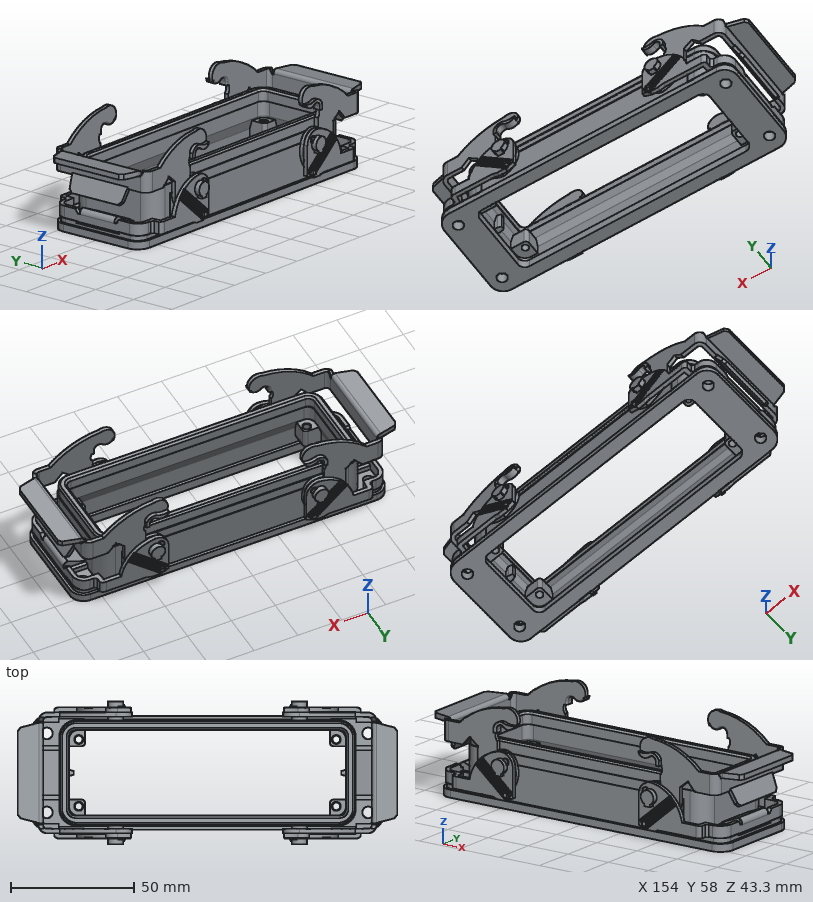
import cadquery as cq

FLANGE_LENGTH = 142.7
FLANGE_WIDTH = 46.2
FLANGE_TOP = 3.4
FLANGE_RADIUS = 6.2
STEP_TOP = 5.5
STEP_INSET = 1.2
STEP_RUN = 20.0
STEP_RADIUS = FLANGE_RADIUS - STEP_INSET
BODY_LENGTH = 120.3
BODY_RADIUS = 7.1
BODY_WIDTH = 42.8
PANEL_WIDTH = 43.4
PANEL_TOP = 19.1
RIM_INSET = 0.5
RIM_START = 23.2
RIM_TOP = 28.3
RIM_CHAMFER = 0.8

OPENING_LENGTH = 112.0
OPENING_WIDTH = 34.5
OPENING_RADIUS = 3.4
LIP_TOP = 4.3
RECESS_CLEARANCE = 1.4
RECESS_SLOPE_START = 12.6
NECK_START = 17.1
MOUTH_CLEARANCE = 0.2
MOUTH_RADIUS = 2.8
MOUTH_CHAMFER = 1.0

BOSS_LENGTH = 6.5
BOSS_WIDTH = 6.5
BOSS_BOTTOM = 8.0
BOSS_TOP = 16.2
BOSS_HOLE_X = 52.2
BOSS_HOLE_Y = 13.5
BOSS_HOLE_RADIUS = 1.5
BOSS_CHAMFER = 0.3
BOSS_ROUND = 1.5
BOSS_EMBED = 0.3
NUB_LENGTH = 1.8
NUB_ROOT = 2.6
NUB_TIP = 1.5

SHEET = 1.8
TRAY_END = 70.5
TRAY_WIDTH = 45.0
TRAY_RADIUS = 5.4
TRAY_INNER_END = 63.4
TRAY_TOP = 10.8
EAR_INNER = 24.8
EAR_OUTER = EAR_INNER + SHEET
EAR_BEND = 62.2
EAR_START = 59.9
NOTCH_WIDTH = 20.0
NOTCH_TAPER = 1.4
NOTCH_BOTTOM = 9.0
HUMP_WIDTH = 18.2
HUMP_LEDGE_WIDTH = 21.9
HUMP_LEDGE_TOP = 7.7
HUMP_TOP = 11.2
HUMP_HEEL = 8.0
END_SLOT_WIDTH = 22.2
END_SLOT_HEIGHT = 1.0
END_SLOT_DEPTH = 0.8
MOUNT_HOLE_X = 65.1
MOUNT_HOLE_Y = 16.0
MOUNT_HOLE_RADIUS = 2.3

STRIP_CENTRE = (-40.8, 13.0)
STRIP_LENGTH = 19.7
STRIP_WIDTH = 4.6
STRIP_ANGLE = 40.3
STRIP_DEPTH = 0.5
RIB_COUNT = 4
RIB_WIDTH = 0.6
STUD_X = -34.6
STUD_Z = 7.4
STUD_SIZE = 1.8
STUD_OUTER = 27.7

PIN_X = -37.2
PIN_Z = 19.2
PIN_RADIUS = 3.15
PIN_OUTER = 29.01
PIN_INNER = 20.8
PIN_KEY_WIDTH = 3.0
PIN_KEY_DROP = 3.8
STOP_OFFSET = (2.3, 2.0)
STOP_RADIUS = 1.5
STOP_HEIGHT = 0.5

LEVER_OUTER = 24.55
LEVER_INNER = LEVER_OUTER - SHEET
LEVER_END = 68.5
LEVER_BOTTOM = 24.2
LEVER_TOP = 33.1
LEVER_RADIUS = 3.5
HANDLE_BOTTOM = 30.8
HANDLE_END = 77.0
HANDLE_ROOT_HALF = 20.3
HANDLE_SLANT_HALF = 18.5
HANDLE_TIP_HALF = 17.0
HANDLE_CORNER = 1.2
RELIEF_GAP = 0.6
RELIEF_FLARE = 1.7
HOOK_FLANGE_OUTER = 26.3
HOOK_FLANGE_BOTTOM = 32.5
HOOK_ROOT_X = -39.7
HOOK_TIP = (-31.2, 36.2)
HOOK_BEND_RADIUS = 0.8
WING_LENGTH = 8.0
WING_THICKNESS = 1.5
WING_TILT = 26.0
WING_WIDTH = 29.2
WING_TAPER = 1.0
WING_CORNER = 1.5


def block(length, width, bottom, top, radius):
    """Centred block with rounded upright corners."""
    slab = cq.Workplane("XY").workplane(offset=bottom).rect(length, width).extrude(top - bottom)
    return slab.edges("|Z").fillet(radius)


def side_plane(y):
    """Sketch plane at distance y on the -Y side; extrusions run outward."""
    return cq.Workplane("XZ", origin=(0, -y, 0))


def both_sides(solid):
    return solid.union(solid.mirror("XZ"))


def both_ends(solid):
    return solid.union(solid.mirror("YZ"))


def make_housing():
    flange = block(FLANGE_LENGTH, FLANGE_WIDTH, 0, FLANGE_TOP, FLANGE_RADIUS)
    step_length = FLANGE_LENGTH - 2 * STEP_INSET
    step_width = FLANGE_WIDTH - 2 * STEP_INSET
    step = block(step_length, step_width, FLANGE_TOP, STEP_TOP, STEP_RADIUS)
    gap_length = step_length - 2 * STEP_RUN
    step = step.cut(cq.Workplane("XY").box(gap_length, FLANGE_WIDTH, 2 * STEP_TOP))

    body = block(BODY_LENGTH, BODY_WIDTH, FLANGE_TOP, RIM_START, BODY_RADIUS)
    panel_height = PANEL_TOP - FLANGE_TOP
    panels = cq.Workplane("XY").box(gap_length, PANEL_WIDTH, panel_height)
    panels = panels.translate((0, 0, FLANGE_TOP + panel_height / 2))
    rim = block(BODY_LENGTH - 2 * RIM_INSET, BODY_WIDTH - 2 * RIM_INSET,
                RIM_START, RIM_TOP, BODY_RADIUS - RIM_INSET)
    rim = rim.faces(">Z").edges().chamfer(RIM_CHAMFER)
    return flange.union(step).union(body).union(panels).union(rim)


def opening_block(clearance, bottom, top, radius):
    return block(OPENING_LENGTH + 2 * clearance, OPENING_WIDTH + 2 * clearance, bottom, top, radius)


def make_opening():
    """Through opening: bottom lip, wider recess, sloping neck and chamfered mouth."""
    through = opening_block(0, 0, RIM_START, OPENING_RADIUS)
    recess_radius = OPENING_RADIUS + RECESS_CLEARANCE
    recess = opening_block(RECESS_CLEARANCE, LIP_TOP, NECK_START, recess_radius)
    slope_height = NECK_START - RECESS_SLOPE_START
    recess = recess.faces(">Z").edges().chamfer(slope_height, RECESS_CLEARANCE)
    mouth = opening_block(MOUTH_CLEARANCE, RIM_START, RIM_TOP, MOUTH_RADIUS)
    flare = opening_block(MOUTH_CLEARANCE + MOUTH_CHAMFER, RIM_TOP - MOUTH_CHAMFER,
                          RIM_TOP + MOUTH_CHAMFER, MOUTH_RADIUS + MOUTH_CHAMFER)
    flare = flare.faces("<Z").edges().chamfer(MOUTH_CHAMFER)
    return through.union(recess).union(mouth).union(flare)


def make_boss():
    """Drilled insert boss in the -X, -Y corner of the opening."""
    root = RECESS_CLEARANCE + BOSS_EMBED
    boss = (
        cq.Workplane("XY").workplane(offset=BOSS_BOTTOM)
        .center(-OPENING_LENGTH / 2 - root, -OPENING_WIDTH / 2 - root)
        .rect(BOSS_LENGTH + root, BOSS_WIDTH + root, centered=False)
        .extrude(BOSS_TOP - BOSS_BOTTOM)
    )
    boss = boss.edges("|Z and >X and >Y").fillet(BOSS_ROUND)
    boss = (
        boss.faces(">Z").workplane(origin=(-BOSS_HOLE_X, -BOSS_HOLE_Y, 0))
        .cskHole(2 * BOSS_HOLE_RADIUS, 2 * (BOSS_HOLE_RADIUS + BOSS_CHAMFER), 90)
    )
    return boss


def make_nub():
    """Tapered key nub in the middle of the -X end wall."""
    root_x = -OPENING_LENGTH / 2
    tip_x = root_x + NUB_LENGTH
    buried_x = root_x - RECESS_CLEARANCE
    outline = [
        (buried_x, -NUB_ROOT / 2),
        (root_x, -NUB_ROOT / 2),
        (tip_x, -NUB_TIP / 2),
        (tip_x, NUB_TIP / 2),
        (root_x, NUB_ROOT / 2),
        (buried_x, NUB_ROOT / 2),
    ]
    nub = cq.Workplane("XY").workplane(offset=BOSS_BOTTOM).polyline(outline).close()
    return nub.extrude(BOSS_TOP - BOSS_BOTTOM)


def make_tray():
    """Upright wall around the -X end, notched in the middle for the cover hump."""
    height = TRAY_TOP - STEP_TOP
    wall = block(2 * TRAY_END, TRAY_WIDTH, STEP_TOP, TRAY_TOP, TRAY_RADIUS)
    inside = block(2 * (TRAY_END - SHEET), TRAY_WIDTH - 2 * SHEET,
                   STEP_TOP, TRAY_TOP, TRAY_RADIUS - SHEET)
    keep = cq.Workplane("XY").box(TRAY_END, 2 * TRAY_WIDTH, 4 * height)
    keep = keep.translate((-TRAY_INNER_END - TRAY_END / 2, 0, TRAY_TOP))
    tray = wall.cut(inside).intersect(keep)

    notch_half = NOTCH_WIDTH / 2
    notch = (
        cq.Workplane("YZ", origin=(-TRAY_END, 0, 0))
        .polyline([
            (-notch_half, NOTCH_BOTTOM),
            (notch_half, NOTCH_BOTTOM),
            (notch_half + NOTCH_TAPER, TRAY_TOP),
            (-notch_half - NOTCH_TAPER, TRAY_TOP),
        ])
        .close().extrude(SHEET)
    )
    return tray.cut(notch)


def make_hump():
    """Raised cover between the tray wall and the housing end, on a wider ledge."""
    body_end = -BODY_LENGTH / 2
    cover = (
        side_plane(-HUMP_WIDTH / 2)
        .moveTo(-TRAY_END, STEP_TOP)
        .lineTo(-TRAY_END, NOTCH_BOTTOM)
        .threePointArc((-TRAY_END + 0.8, HUMP_TOP - 0.6), (-TRAY_END + 2.2, HUMP_TOP))
        .lineTo(body_end, HUMP_HEEL)
        .lineTo(body_end, STEP_TOP)
        .close()
        .extrude(HUMP_WIDTH)
    )
    ledge = cq.Workplane("XY").box(
        TRAY_END - SHEET + body_end, HUMP_LEDGE_WIDTH, HUMP_LEDGE_TOP - STEP_TOP,
        centered=(False, True, False),
    )
    return cover.union(ledge.translate((-TRAY_END + SHEET, 0, STEP_TOP)))


def make_jog():
    """Stepped bend that carries the tray wall out to the ear."""
    wall_outer = TRAY_WIDTH / 2
    wall_inner = wall_outer - SHEET
    bend_mid = (-EAR_BEND + 0.8, -EAR_OUTER + 0.3)
    return (
        cq.Workplane("XY").workplane(offset=STEP_TOP)
        .moveTo(-TRAY_INNER_END, -wall_inner)
        .lineTo(-TRAY_INNER_END, -wall_outer)
        .lineTo(-EAR_BEND, -wall_outer - 0.8)
        .lineTo(-EAR_BEND, -EAR_OUTER + 1.1)
        .threePointArc(bend_mid, (-EAR_START, -EAR_OUTER))
        .lineTo(-EAR_START + SHEET, -EAR_OUTER)
        .lineTo(-EAR_START + SHEET, -EAR_INNER)
        .lineTo(-EAR_START, -EAR_INNER)
        .lineTo(-EAR_BEND + SHEET, -wall_inner)
        .close()
        .extrude(TRAY_TOP - STEP_TOP)
    )


def strip_bar(width, length, offset, depth):
    """Bar along the knurled strip, shifted sideways, sunk into the ear face."""
    bar = side_plane(EAR_OUTER - depth).rect(length, width).extrude(depth)
    bar = bar.translate((0, 0, offset))
    centre = (STRIP_CENTRE[0], 0, STRIP_CENTRE[1])
    return bar.rotate((0, 0, 0), (0, 1, 0), STRIP_ANGLE).translate(centre)


def make_ear():
    """Fixed ear plate with its knurled strip and small stud."""
    ear = (
        side_plane(EAR_INNER)
        .moveTo(-EAR_START, STEP_TOP)
        .lineTo(-EAR_START, TRAY_TOP)
        .lineTo(-53.0, TRAY_TOP)
        .threePointArc((-47.1, 21.0), (-37.2, 25.1))
        .threePointArc((-33.1, 23.4), (-31.4, 19.4))
        .lineTo(-31.4, 6.3)
        .lineTo(-35.2, 4.8)
        .lineTo(-39.1, 4.8)
        .lineTo(-41.5, STEP_TOP)
        .close()
        .extrude(SHEET)
    )
    ear = ear.cut(strip_bar(STRIP_WIDTH, STRIP_LENGTH, 0, STRIP_DEPTH).intersect(ear))
    pitch = STRIP_WIDTH / RIB_COUNT
    for index in range(RIB_COUNT):
        offset = (index - (RIB_COUNT - 1) / 2) * pitch
        ear = ear.union(strip_bar(RIB_WIDTH, STRIP_LENGTH - SHEET, offset, STRIP_DEPTH))
    stud = side_plane(EAR_INNER).center(STUD_X, STUD_Z).rect(STUD_SIZE, STUD_SIZE)
    return ear.union(stud.extrude(STUD_OUTER - EAR_INNER))


def make_pin():
    """Lever pivot with a key at the underside of its head and a round stop beside it."""
    pin = side_plane(PIN_INNER).center(PIN_X, PIN_Z).circle(PIN_RADIUS)
    pin = pin.extrude(PIN_OUTER - PIN_INNER)
    key = (
        side_plane(EAR_INNER).center(PIN_X, PIN_Z - PIN_KEY_DROP / 2)
        .rect(PIN_KEY_WIDTH, PIN_KEY_DROP).extrude(PIN_OUTER - EAR_INNER)
    )
    stop = (
        side_plane(EAR_INNER).center(PIN_X + STOP_OFFSET[0], PIN_Z + STOP_OFFSET[1])
        .circle(STOP_RADIUS).extrude(SHEET + STOP_HEIGHT)
    )
    return pin.union(key).union(stop)


def hook_mouth(y):
    """Start an outline on the -Y side with the smooth inner edge of the hook, root to tip."""
    return (
        side_plane(y)
        .moveTo(HOOK_ROOT_X, HOOK_FLANGE_BOTTOM)
        .lineTo(HOOK_ROOT_X, 34.2)
        .tangentArcPoint((-36.3, 35.7), relative=False)
        .tangentArcPoint(HOOK_TIP, relative=False)
    )


def make_lever_arm():
    """Side arm: hook, strap and the lobe around the pivot."""
    return (
        hook_mouth(LEVER_INNER)
        .threePointArc((-31.0, 40.5), (-37.1, 43.0))
        .threePointArc((-49.7, 39.9), (-59.9, LEVER_TOP))
        .lineTo(-LEVER_END, LEVER_TOP)
        .lineTo(-LEVER_END, LEVER_BOTTOM)
        .lineTo(-57.9, LEVER_BOTTOM)
        .lineTo(-54.3, 28.0)
        .lineTo(-50.3, 24.8)
        .lineTo(-50.3, 17.9)
        .threePointArc((-45.9, 10.2), (-38.5, 6.2))
        .threePointArc((-33.0, 10.5), (-31.7, 19.4))
        .threePointArc((-34.3, 23.7), (-40.6, 24.6))
        .lineTo(-40.6, 28.6)
        .threePointArc((-41.5, 30.6), (-41.1, HOOK_FLANGE_BOTTOM))
        .close()
        .extrude(SHEET)
    )


def make_hook_flange():
    """Curved lip bent outward along the inside of the hook."""
    return (
        hook_mouth(LEVER_INNER)
        .lineTo(-31.0, 37.1)
        .threePointArc((-34.2, 36.8), (-36.6, 37.5))
        .threePointArc((-39.7, 37.0), (-41.2, 34.8))
        .lineTo(-41.2, HOOK_FLANGE_BOTTOM)
        .close()
        .extrude(HOOK_FLANGE_OUTER - LEVER_INNER)
    )


def make_hooked_arm():
    """Arm with its hook edge replaced by the lip and its rounded bend."""
    flange = make_hook_flange()
    inside_edge = cq.selectors.BoxSelector(
        (-40.0, -LEVER_INNER - 0.2, HOOK_FLANGE_BOTTOM),
        (-32.0, -LEVER_INNER + 0.2, 36.2),
    )
    bent = flange.edges(inside_edge).fillet(HOOK_BEND_RADIUS)
    return make_lever_arm().cut(flange).union(bent)


def make_lever_cross():
    """End wall of the lever, bent round into both arms."""
    reach = 3 * LEVER_RADIUS
    outer = block(2 * LEVER_END, 2 * LEVER_OUTER, LEVER_BOTTOM, LEVER_TOP, LEVER_RADIUS)
    inner = block(2 * (LEVER_END - SHEET), 2 * LEVER_INNER,
                  LEVER_BOTTOM, LEVER_TOP, LEVER_RADIUS - SHEET)
    keep = cq.Workplane("XY").box(reach, 3 * LEVER_OUTER, 3 * LEVER_TOP)
    cross = outer.cut(inner).intersect(keep.translate((reach / 2 - LEVER_END, 0, 0)))
    relief_foot = HANDLE_ROOT_HALF + RELIEF_GAP
    relief = (
        cq.Workplane("YZ", origin=(-LEVER_END, 0, 0))
        .polyline([
            (-relief_foot, HANDLE_BOTTOM),
            (-relief_foot - RELIEF_FLARE, LEVER_TOP),
            (relief_foot + RELIEF_FLARE, LEVER_TOP),
            (relief_foot, HANDLE_BOTTOM),
        ])
        .close().extrude(SHEET)
    )
    return cross.cut(relief)


def make_handle():
    """Flat thumb tab folded outward from the top of the end wall."""
    fold_x = -LEVER_END + SHEET
    outline = [
        (fold_x, -HANDLE_ROOT_HALF),
        (-LEVER_END, -HANDLE_ROOT_HALF),
        (-HANDLE_END + HANDLE_CORNER, -HANDLE_SLANT_HALF),
        (-HANDLE_END, -HANDLE_TIP_HALF),
        (-HANDLE_END, HANDLE_TIP_HALF),
        (-HANDLE_END + HANDLE_CORNER, HANDLE_SLANT_HALF),
        (-LEVER_END, HANDLE_ROOT_HALF),
        (fold_x, HANDLE_ROOT_HALF),
    ]
    tab = cq.Workplane("XY").workplane(offset=HANDLE_BOTTOM).polyline(outline).close()
    tab = tab.extrude(LEVER_TOP - HANDLE_BOTTOM)
    return tab.edges(">X and >Z").fillet(SHEET)


def make_wing():
    """Tapered flap that slants down and outward from the end wall."""
    root_half = WING_WIDTH / 2
    tip_half = root_half - WING_TAPER
    flap = (
        cq.Workplane("YZ")
        .polyline([
            (-root_half, 0),
            (root_half, 0),
            (tip_half, -WING_LENGTH + WING_CORNER),
            (tip_half - WING_CORNER, -WING_LENGTH),
            (-tip_half + WING_CORNER, -WING_LENGTH),
            (-tip_half, -WING_LENGTH + WING_CORNER),
        ])
        .close().extrude(WING_THICKNESS)
    )
    flap = flap.rotate((0, 0, 0), (0, 1, 0), WING_TILT)
    return flap.translate((-LEVER_END, 0, LEVER_BOTTOM + WING_THICKNESS / 2))


def make_lever():
    arm = both_sides(make_hooked_arm())
    corner_cut = cq.Workplane("XY").box(LEVER_RADIUS, 3 * LEVER_OUTER, 3 * LEVER_TOP)
    arm = arm.cut(corner_cut.translate((-LEVER_END + LEVER_RADIUS / 2, 0, 0)))
    lever = arm.union(make_lever_cross())
    return lever.union(make_handle()).union(make_wing())


def make_cuts():
    """Mounting holes and the shallow slot under the tray, at the -X end."""
    hole = cq.Workplane("XY").center(-MOUNT_HOLE_X, -MOUNT_HOLE_Y).circle(MOUNT_HOLE_RADIUS)
    hole = hole.extrude(HUMP_TOP)
    slot = cq.Workplane("XY").box(END_SLOT_DEPTH, END_SLOT_WIDTH, END_SLOT_HEIGHT)
    slot_x = -FLANGE_LENGTH / 2 + STEP_INSET + END_SLOT_DEPTH / 2
    slot = slot.translate((slot_x, 0, STEP_TOP - END_SLOT_HEIGHT / 2))
    return both_sides(hole).union(slot)


housing = make_housing().cut(make_opening()).cut(both_ends(make_cuts()))
fittings = both_sides(make_boss()).union(make_nub())
bracket = make_tray().union(make_hump())
bracket = bracket.union(both_sides(make_jog().union(make_ear()).union(make_pin())))
end_parts = fittings.union(bracket).union(make_lever())

result = housing.union(both_ends(end_parts))